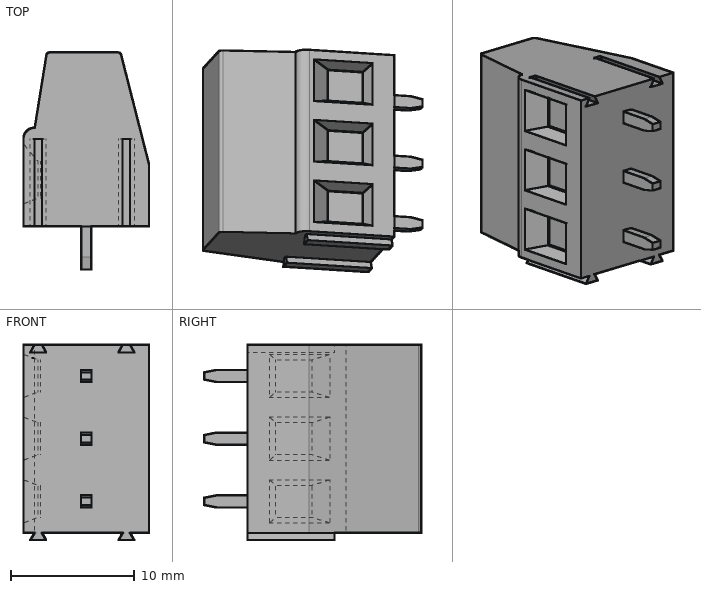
import cadquery as cq
import math


pole_count = 3
pitch = 5.08
body_width = 10.2
body_depth = 14.1
body_height = pole_count * pitch
half_width = body_width / 2

shoulder_y = 8.0
shoulder_radius = 0.92
shoulder_start_y = shoulder_y - shoulder_radius
neck_x = -half_width + shoulder_radius
crown_left_x = -3.2
crown_right_x = 2.78
crown_radius = 0.3
slope_start_y = 5.0

dovetail_centers_x = (-3.89, 3.25)
dovetail_length = shoulder_start_y
dovetail_neck = 0.6
dovetail_base = 1.3
rib_height = 0.6
groove_clearance = 0.05
groove_depth = rib_height + groove_clearance

entry_y_min = 1.8
entry_y_max = 6.7
entry_height = 3.5
throat_y_min = 2.3
throat_y_max = 5.25
throat_height = 2.6
funnel_depth = 1.2
throat_depth = 0.2

pin_width = 0.85
pin_thickness = 1.0
pin_length = 3.5
pin_taper_length = 1.0
pin_tip_thickness = 0.6

pole_heights = [(index + 0.5) * pitch for index in range(pole_count)]


def make_housing():
    """Extruded housing with a rounded shoulder and a narrower, rounded crown."""
    arc_reach = shoulder_radius * math.cos(math.radians(45))
    arc_middle = (neck_x - arc_reach, shoulder_start_y + arc_reach)
    outline = (
        cq.Workplane("XY")
        .moveTo(-half_width, 0)
        .lineTo(-half_width, shoulder_start_y)
        .threePointArc(arc_middle, (neck_x, shoulder_y))
        .lineTo(crown_left_x, body_depth)
        .lineTo(crown_right_x, body_depth)
        .lineTo(half_width, slope_start_y)
        .lineTo(half_width, 0)
        .close()
    )
    housing = outline.extrude(body_height)
    return housing.faces(">Y").edges("|Z").fillet(crown_radius)


def make_dovetail(center_x, top_z, height):
    """Dovetail bar along Y, narrow at top_z and widening downwards."""
    return (
        cq.Workplane("XZ")
        .polyline([
            (center_x - dovetail_neck / 2, top_z),
            (center_x + dovetail_neck / 2, top_z),
            (center_x + dovetail_base / 2, top_z - height),
            (center_x - dovetail_base / 2, top_z - height),
        ])
        .close()
        .extrude(-dovetail_length)
    )


def make_wire_entry(center_z):
    """Rectangular funnel with a sloped wall on each side and a short straight throat."""
    entry_center_y = (entry_y_min + entry_y_max) / 2
    throat_center_y = (throat_y_min + throat_y_max) / 2
    throat_width = throat_y_max - throat_y_min
    mouth = cq.Workplane("YZ", origin=(-half_width, entry_center_y, center_z))
    funnel = (
        mouth.rect(entry_y_max - entry_y_min, entry_height)
        .workplane(offset=funnel_depth)
        .center(throat_center_y - entry_center_y, 0)
        .rect(throat_width, throat_height)
        .loft(ruled=True)
    )
    throat = (
        cq.Workplane("YZ", origin=(-half_width + funnel_depth, throat_center_y, center_z))
        .rect(throat_width, throat_height)
        .extrude(throat_depth)
    )
    return funnel.union(throat)


def make_pin(center_z):
    """Rectangular pin below the mounting face, tapered in thickness at its tip."""
    taper_y = -pin_length + pin_taper_length
    return (
        cq.Workplane("YZ", origin=(-pin_width / 2, 0, center_z))
        .polyline([
            (0, pin_thickness / 2),
            (taper_y, pin_thickness / 2),
            (-pin_length, pin_tip_thickness / 2),
            (-pin_length, -pin_tip_thickness / 2),
            (taper_y, -pin_thickness / 2),
            (0, -pin_thickness / 2),
        ])
        .close()
        .extrude(pin_width)
    )


result = make_housing()

for dovetail_x in dovetail_centers_x:
    result = result.cut(make_dovetail(dovetail_x, body_height, groove_depth))
    result = result.union(make_dovetail(dovetail_x, 0, rib_height))

for pole_z in pole_heights:
    result = result.cut(make_wire_entry(pole_z))
    result = result.union(make_pin(pole_z))